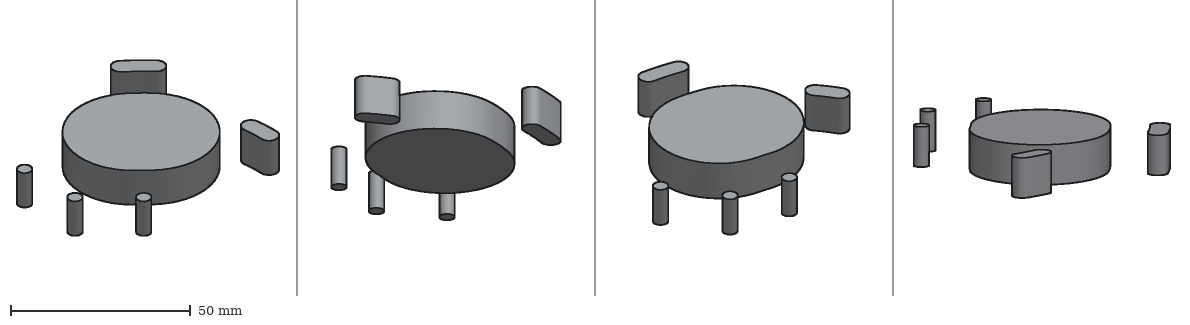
import cadquery as cq
import math

thickness = 11.5
pin_diameter = 4.3

fixed_pin_y = -13.6
fixed_pin_xs = (-33.45, -13.45)

swing_angle = 8.5
far_direction = 136.7
near_direction = far_direction - 45.0

disc_distance = 33.2
disc_radius = 19.45
key_radius = 2.85
far_key_distance = 66.4
near_key_distance = 46.9


def polar(radius, angle):
    """Point at a radius and an angle in degrees about the pivot."""
    return (radius * math.cos(math.radians(angle)), radius * math.sin(math.radians(angle)))


def make_swept_body(distance, end_radius, direction):
    """Curved slot shape: a circle swung about the pivot through the swing angle."""
    start = direction - swing_angle / 2
    end = direction + swing_angle / 2
    inner = distance - end_radius
    outer = distance + end_radius
    start_x, start_y = polar(distance, start)
    end_x, end_y = polar(distance, end)
    start_dx, start_dy = polar(end_radius, start - 90)
    end_dx, end_dy = polar(end_radius, end + 90)
    return (
        cq.Workplane("XY")
        .moveTo(*polar(outer, start))
        .threePointArc(polar(outer, direction), polar(outer, end))
        .threePointArc((end_x + end_dx, end_y + end_dy), polar(inner, end))
        .threePointArc(polar(inner, direction), polar(inner, start))
        .threePointArc((start_x + start_dx, start_y + start_dy), polar(outer, start))
        .close()
        .extrude(thickness)
    )


def make_pin(x, y):
    """Plain round pin standing at a point."""
    return cq.Workplane("XY").center(x, y).circle(pin_diameter / 2).extrude(thickness)


disc = make_swept_body(disc_distance, disc_radius, far_direction)
far_key = make_swept_body(far_key_distance, key_radius, far_direction)
near_key = make_swept_body(near_key_distance, key_radius, near_direction)
pivot_pin = make_pin(0, 0)
fixed_pins = [make_pin(x, fixed_pin_y).val() for x in fixed_pin_xs]

result = cq.Compound.makeCompound(
    [disc.val(), far_key.val(), near_key.val(), pivot_pin.val(), *fixed_pins]
)